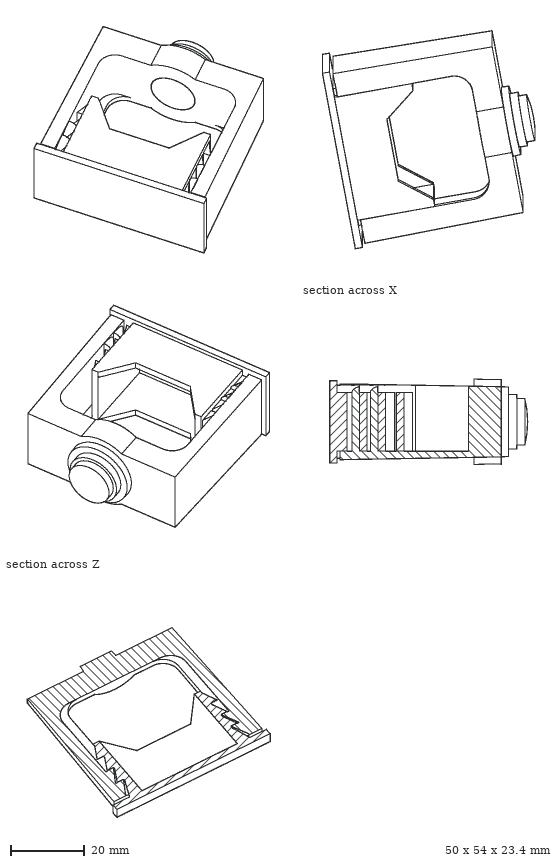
import cadquery as cq
import math

PLATE_WIDTH = 50.0
PLATE_HEIGHT = 22.5
PLATE_THICKNESS = 2.0
BLOCK_HALF_WIDTH = 17.5
BLOCK_HEIGHT = 20.0
BLOCK_END_Y = 23.4
NOTCH_FLOOR_Y = 14.9
BLOCK_WALL = 2.0
NOTCH_MOUTH_HALF_WIDTH = BLOCK_HALF_WIDTH - BLOCK_WALL
NOTCH_FLOOR_HALF_WIDTH = 8.75
BARB_PITCH = 5.0
BARB_LENGTH = 4.5
BARB_DEPTH = 2.1
BARB_HEIGHT = BLOCK_HEIGHT - 2 * BLOCK_WALL
FIRST_CATCH_Y = 8.1
FREE_BARBS = 3

DRAFT = math.radians(1.0)
SIDE_DRAFT = math.radians(0.75)
FRAME_FRONT_Y = 2.8
FRAME_LENGTH = 44.0
FRAME_BACK_Y = FRAME_FRONT_Y + FRAME_LENGTH
FRAME_BACK_HALF_WIDTH = 23.6
FRAME_BACK_HALF_HEIGHT = 9.6
BACK_WALL = 7.5
CAVITY_END_Y = FRAME_BACK_Y - BACK_WALL
CAVITY_HALF_WIDTH = 20.0
CORNER_RADIUS = 5.0
LIP_TOP_Z = -BARB_HEIGHT / 2
BULGE_RADIUS = 11.71
COLLAR_LENGTH = 2.0
COLLAR_BASE_RADIUS = 9.6
COLLAR_END_RADIUS = 9.5
TOOTH_LENGTH = 4.8
TOOTH_DEPTH = CAVITY_HALF_WIDTH - BLOCK_HALF_WIDTH
TOOTH_TOP_Z = 10.0
TOOTH_EDGE_RADIUS = 2.0
TEETH_PER_SIDE = 2

STEM_RADIUS = 6.4
STEM_CLEARANCE = 0.1
FLANGE_RADIUS = 7.45
FLANGE_LENGTH = 2.2
HEAD_LENGTH = 2.2
TIP_Y = 54.0
FLANGE_START_Y = FRAME_BACK_Y + COLLAR_LENGTH
FLANGE_END_Y = FLANGE_START_Y + FLANGE_LENGTH
HEAD_END_Y = FLANGE_END_Y + HEAD_LENGTH

OVERSIZE = 40.0
SIDES = (-1, 1)


def plan_prism(outline, bottom, top):
    """Extrude a closed XY outline between two heights."""
    return cq.Workplane("XY").workplane(offset=bottom).polyline(outline).close().extrude(top - bottom)


def along_y(start):
    """Workplane at Y = start whose extrusions run toward +Y."""
    return cq.Workplane(cq.Plane(origin=(0, start, 0), xDir=(1, 0, 0), normal=(0, 1, 0)))


def cone_along_y(start, end, start_radius, end_radius):
    """Cone frustum about the Y axis."""
    return (
        cq.Workplane("YZ")
        .polyline([(start, 0), (start, start_radius), (end, end_radius), (end, 0)])
        .close()
        .revolve(360, (0, 0, 0), (1, 0, 0))
    )


def make_plug():
    plate = along_y(0).rect(PLATE_WIDTH, PLATE_HEIGHT).extrude(PLATE_THICKNESS)
    right_half = [
        (BLOCK_HALF_WIDTH, PLATE_THICKNESS),
        (BLOCK_HALF_WIDTH, BLOCK_END_Y),
        (NOTCH_MOUTH_HALF_WIDTH, BLOCK_END_Y),
        (NOTCH_FLOOR_HALF_WIDTH, NOTCH_FLOOR_Y),
    ]
    left_half = [(-x, y) for x, y in reversed(right_half)]
    block = plan_prism(right_half + left_half, -BLOCK_HEIGHT / 2, BLOCK_HEIGHT / 2)
    hollow = (
        along_y(PLATE_THICKNESS)
        .rect(2 * (BLOCK_HALF_WIDTH - BLOCK_WALL), BLOCK_HEIGHT - 2 * BLOCK_WALL)
        .extrude(BLOCK_END_Y - PLATE_THICKNESS)
    )
    plug = plate.union(block.cut(hollow))
    catches = [FIRST_CATCH_Y + i * BARB_PITCH for i in range(FREE_BARBS)]
    spans = [(PLATE_THICKNESS, FIRST_CATCH_Y - BARB_PITCH + BARB_LENGTH)]
    spans += [(catch, catch + BARB_LENGTH) for catch in catches]
    for side in SIDES:
        for catch, root in spans:
            barb = [
                (side * BLOCK_HALF_WIDTH, catch),
                (side * (BLOCK_HALF_WIDTH + BARB_DEPTH), catch),
                (side * BLOCK_HALF_WIDTH, root),
            ]
            plug = plug.union(plan_prism(barb, -BARB_HEIGHT / 2, BARB_HEIGHT / 2))
    return plug


def make_frame_shell():
    """Solid block that widens and heightens toward the front."""
    front_half_width = FRAME_BACK_HALF_WIDTH + FRAME_LENGTH * math.tan(SIDE_DRAFT)
    front_half_height = FRAME_BACK_HALF_HEIGHT + FRAME_LENGTH * math.tan(DRAFT)
    return (
        along_y(FRAME_FRONT_Y)
        .rect(2 * front_half_width, 2 * front_half_height)
        .workplane(offset=FRAME_LENGTH)
        .rect(2 * FRAME_BACK_HALF_WIDTH, 2 * FRAME_BACK_HALF_HEIGHT)
        .loft(ruled=True)
    )


def make_bulge():
    """Drafted round boss that thickens the back wall around the button."""
    back_radius = BULGE_RADIUS - BACK_WALL * math.tan(DRAFT)
    return cone_along_y(CAVITY_END_Y, FRAME_BACK_Y, BULGE_RADIUS, back_radius)


def make_collar():
    return cone_along_y(FRAME_BACK_Y, FLANGE_START_Y, COLLAR_BASE_RADIUS, COLLAR_END_RADIUS)


def make_opening(half_width, bottom):
    """Pocket that is open at the front and top, with rounded rear corners."""
    length = CAVITY_END_Y + OVERSIZE
    return (
        cq.Workplane("XY")
        .box(2 * half_width, length, OVERSIZE - bottom, centered=(True, False, False))
        .translate((0, -OVERSIZE, bottom))
        .edges("|Z and >Y")
        .fillet(CORNER_RADIUS)
    )


def make_tooth(side, catch):
    """Wedge on the cavity wall with a rounded upper edge, thickest at its rear catch face."""
    wall = side * CAVITY_HALF_WIDTH
    tip = wall - side * TOOTH_DEPTH
    wedge = plan_prism([(wall, catch), (tip, catch), (wall, catch - TOOTH_LENGTH)], LIP_TOP_Z, TOOTH_TOP_Z)
    slope_edge = wedge.faces(">Z").edges(cq.selectors.NearestToPointSelector(
        (wall - side * TOOTH_DEPTH / 2, catch - TOOTH_LENGTH / 2, TOOTH_TOP_Z)))
    return slope_edge.fillet(TOOTH_EDGE_RADIUS)


def make_housing():
    housing = make_frame_shell().union(make_bulge()).union(make_collar())
    housing = housing.cut(make_opening(CAVITY_HALF_WIDTH, LIP_TOP_Z))
    housing = housing.cut(make_opening(BLOCK_HALF_WIDTH, -OVERSIZE))
    for side in SIDES:
        for i in range(TEETH_PER_SIDE):
            housing = housing.union(make_tooth(side, FIRST_CATCH_Y + i * BARB_PITCH))
    bore = along_y(CAVITY_END_Y).circle(STEM_RADIUS + STEM_CLEARANCE).extrude(FLANGE_START_Y - CAVITY_END_Y)
    return housing.cut(bore)


def make_button():
    dome_height = TIP_Y - HEAD_END_Y
    dome_radius = (STEM_RADIUS**2 + dome_height**2) / (2 * dome_height)
    half_angle = math.asin(STEM_RADIUS / dome_radius) / 2
    dome_mid = (
        -dome_radius * math.sin(half_angle),
        TIP_Y - dome_radius * (1 - math.cos(half_angle)),
    )
    return (
        cq.Workplane("XY")
        .moveTo(0, CAVITY_END_Y)
        .lineTo(-STEM_RADIUS, CAVITY_END_Y)
        .lineTo(-STEM_RADIUS, FLANGE_START_Y)
        .lineTo(-FLANGE_RADIUS, FLANGE_START_Y)
        .lineTo(-FLANGE_RADIUS, FLANGE_END_Y)
        .lineTo(-STEM_RADIUS, FLANGE_END_Y)
        .lineTo(-STEM_RADIUS, HEAD_END_Y)
        .threePointArc(dome_mid, (0, TIP_Y))
        .close()
        .revolve(360, (0, 0, 0), (0, 1, 0))
    )


plug = make_plug()
housing = make_housing()
button = make_button()
result = cq.Compound.makeCompound([plug.val(), housing.val(), button.val()])